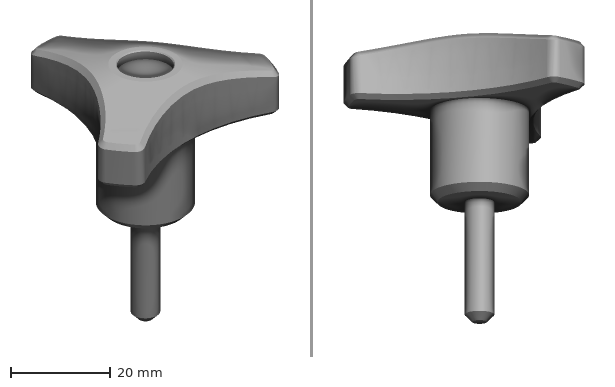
import cadquery as cq
import math

total_height = 58
head_bottom = 44.0
hub_bottom = 25.0

arm_count = 3
tip_radius = 27.55
waist_radius = 12.0
side_arc_radius = 42.0
corner_radius = 2.0
head_chamfer = 1.0

crown_flat_radius = 7.5
crown_drop = 4.4
recess_diameter = 11.5
recess_depth = 2.0
recess_rim_chamfer = 0.25

hub_diameter = 20.0
hub_chamfer = 1.5
pin_diameter = 6.0
pin_chamfer = 1.5


def polar(radius, angle):
    """Point at a radius and an angle in degrees from +X."""
    radians = math.radians(angle)
    return radius * math.cos(radians), radius * math.sin(radians)


def arm_half_angle():
    """Half the angle spanned by an arm end, where the side arcs meet the tip circle."""
    arc_centre = waist_radius + side_arc_radius
    cosine = (arc_centre**2 + tip_radius**2 - side_arc_radius**2) / (2 * arc_centre * tip_radius)
    return 180 / arm_count - math.degrees(math.acos(cosine))


def head_prism():
    """Plan outline of the head, extruded to full height with rounded corners."""
    half_angle = arm_half_angle()
    pitch = 360 / arm_count
    first_arm = 90
    outline = cq.Workplane("XY").workplane(offset=head_bottom)
    outline = outline.moveTo(*polar(tip_radius, first_arm - half_angle))
    for index in range(arm_count):
        arm = first_arm + index * pitch
        outline = outline.threePointArc(polar(tip_radius, arm), polar(tip_radius, arm + half_angle))
        outline = outline.threePointArc(
            polar(waist_radius, arm + pitch / 2),
            polar(tip_radius, arm + pitch - half_angle),
        )
    prism = outline.close().extrude(total_height - head_bottom)
    return prism.edges("|Z").fillet(corner_radius)


def crown_envelope():
    """Solid of revolution with a flat centre and a conical upper face."""
    return (
        cq.Workplane("XZ")
        .moveTo(0, head_bottom)
        .lineTo(tip_radius, head_bottom)
        .lineTo(tip_radius, total_height - crown_drop)
        .lineTo(crown_flat_radius, total_height)
        .lineTo(0, total_height)
        .close()
        .revolve(360, (0, 0), (0, 1))
    )


def make_head():
    """Crowned head with chamfered edges and a recess in the centre."""
    head = head_prism().intersect(crown_envelope())
    head = head.faces("<Z").edges().chamfer(head_chamfer)
    head = head.faces("%CONE").edges("not %CIRCLE").chamfer(head_chamfer)
    recess = (
        cq.Workplane("XY")
        .workplane(offset=total_height - recess_depth)
        .circle(recess_diameter / 2)
        .extrude(recess_depth)
    )
    head = head.cut(recess)
    rim = cq.selectors.RadiusNthSelector(0)
    return head.faces(">Z").edges(rim).chamfer(recess_rim_chamfer)


def make_hub():
    hub = cq.Workplane("XY").workplane(offset=hub_bottom).circle(hub_diameter / 2)
    return hub.extrude(head_bottom - hub_bottom).faces("<Z").chamfer(hub_chamfer)


def make_pin():
    pin = cq.Workplane("XY").circle(pin_diameter / 2)
    return pin.extrude(hub_bottom).faces("<Z").chamfer(pin_chamfer)


result = make_head().union(make_hub()).union(make_pin())